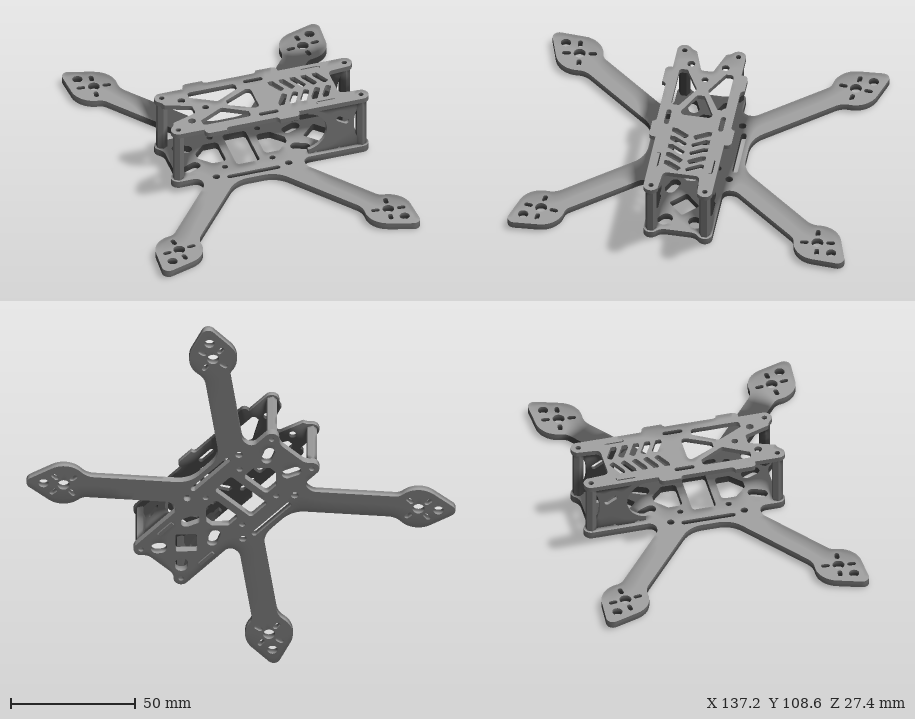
import cadquery as cq
import math

tab_projection = 0.4
bottom_thickness = 3.0
post_height = 22.0
top_thickness = 2.0
bottom_base = tab_projection
bottom_face = bottom_base + bottom_thickness
top_base = bottom_face + post_height
top_face = top_base + top_thickness
mid_height = (bottom_face + top_base) / 2

post_x = 11.0
rear_post_y = -30.0
front_post_y = 47.1
lobe_radius = 3.0
half_body = post_x + lobe_radius
end_overhang = 0.3
end_fillet = 5.0
screw_hole = 2.2
post_flats = 4.0

half_span_x = 68.6
half_span_y = 54.3
motor_x = 56.36
motor_y = 44.1
pad_radius = 9.6
tip_radius = 2.7
tip_x = half_span_x - tip_radius
tip_y = half_span_y - tip_radius
arm_angle = 38.7
arm_outer_offset = 5.56
arm_inner_offset = 4.8
outer_pad_fillet = 4.4
inner_pad_fillet = 7.7
waist_x = 19.9
waist_fillet = 11.3
pocket_y = 21.49
pocket_arm_fillet = 4.4
pocket_body_fillet = 3.0

motor_hole = 4.8
tip_hole = 4.1
tip_hole_x = 62.81
tip_hole_y = 48.95
motor_slot_radius = 5.29
motor_slot_length = 3.6
motor_slot_width = 1.9
motor_slot_twist = 7

strap_x = 16.8
strap_length = 22.4
strap_width = 2.2
large_mount = 15.2
large_mount_hole = 3.0
small_mount = 10.0
small_mount_hole = 2.5
centre_window_half_x = 10.09
centre_window_half_y = 5.0
roof_window_half_x = 6.38
roof_window_near_y = 8.03
roof_window_shoulder_y = 14.0
roof_window_far_y = 18.8
diamond_y = 32.3
diamond_half = 6.2
front_oval_x = 6.2
front_oval_y = 41.7
front_oval_length = 6.6
front_oval_width = 5.2
front_oval_angle = 53
oval_x = 6.38
oval_y = 22.9
oval_width = 4.4
oval_run_x = 1.5
oval_run_y = 3.5

shoulder_x = 16.82
shoulder_y = 19.9
shoulder_fillet = 1.9
strap_recess_width = 3.0
front_notch_half_inner = 7.4
front_notch_half_outer = 8.2
front_notch_y = 39.0
rear_notch_y = -19.9
rear_notch_half_inner = 2.4
rear_notch_half_outer = 6.0
vent_count = 5
vent_pitch = 4.64
vent_first_y = 32.3
triangle_top_y = 5.9
triangle_bottom_y = -5.9
triangle_half_top = 7.4
triangle_half_bottom = 1.5
window_outer_x = 11.1
window_inner_x = 7.8
window_top_y = 0.8
window_bottom_y = -19.4
window_tip_x = 2.2
window_tip_y = -9.0
rear_hole_x = 7.0
rear_hole_y = -22.9
rear_hole = 3.2
centre_hole_y = -15.0
centre_hole = 2.7

side_thickness = 1.5
side_shift = 0.3
side_slot_x = 11.1
side_slot_width = 2.0
side_slot_length = 8.2
left_slot_y = 32.8
right_slot_y = 32.4
slot_spacing = 24.3
tab_y = 32.61
tab_length = 8.0
relief_radius = 0.5
relief_offset = 5.0
side_rear_y = 24.51
side_front_y = front_post_y - post_flats / 2
lens_cut_y = 23.3
lens_cut_radius = 9.0
front_cut_y = 43.7
front_cut_radius = 17.8
tilt_slot_front = (40.5, mid_height + 1.8)
tilt_slot_rear = (37.55, mid_height + 3.64)
tilt_slot_width = 2.3

mirror_signs = (-1, 1)
quadrants = [(sx, sy) for sx in mirror_signs for sy in mirror_signs]


def rounded_prism(corners, base, height):
    """Prism over a polygon whose corners are (x, y, radius); radius 0 stays sharp."""
    starts, middles, ends = [], [], []
    for i, (x, y, radius) in enumerate(corners):
        corner = cq.Vector(x, y)
        back = (cq.Vector(*corners[i - 1][:2]) - corner).normalized()
        ahead = (cq.Vector(*corners[(i + 1) % len(corners)][:2]) - corner).normalized()
        half_angle = back.getAngle(ahead) / 2
        tangent = radius / math.tan(half_angle)
        bisector = (back + ahead).normalized()
        starts.append(corner + back * tangent)
        ends.append(corner + ahead * tangent)
        middles.append(corner + bisector * (radius / math.sin(half_angle) - radius))
    outline = cq.Workplane("XY").workplane(offset=base).moveTo(ends[-1].x, ends[-1].y)
    for start, middle, end, corner in zip(starts, middles, ends, corners):
        outline = outline.lineTo(start.x, start.y)
        if corner[2] > 0:
            outline = outline.threePointArc((middle.x, middle.y), (end.x, end.y))
    return outline.close().extrude(height)


def mirrored(corners):
    """Close an outline given from one side of the Y axis by mirroring it across that axis."""
    return corners + [(-x, y, radius) for x, y, radius in reversed(corners)]


def disc(x, y, diameter, base, height):
    return cq.Workplane("XY", origin=(x, y, base)).circle(diameter / 2).extrude(height)


def slot(x, y, length, width, angle, base, height):
    return cq.Workplane("XY", origin=(x, y, base)).slot2D(length, width, angle).extrude(height)


def fillet_at(body, x, y, radius):
    """Round the upright edge nearest to (x, y)."""
    middle = body.val().BoundingBox().center.z
    edge = body.edges("|Z").edges(cq.selectors.NearestToPointSelector((x, y, middle)))
    return edge.fillet(radius)


def fuselage(base, height):
    """Long body with a lobe around each post and end edges blended into the lobes."""
    length = front_post_y - rear_post_y
    middle = (front_post_y + rear_post_y) / 2
    body = cq.Workplane("XY", origin=(0, middle, base)).rect(2 * half_body, length).extrude(height)
    core = cq.Workplane("XY", origin=(0, middle, base))
    body = body.union(core.rect(2 * post_x, length + 2 * end_overhang).extrude(height))
    for x in (-post_x, post_x):
        for y in (rear_post_y, front_post_y):
            body = body.union(disc(x, y, 2 * lobe_radius, base, height))
    joint_x = post_x - math.sqrt(lobe_radius**2 - end_overhang**2)
    for x in (-joint_x, joint_x):
        for y in (rear_post_y - end_overhang, front_post_y + end_overhang):
            body = fillet_at(body, x, y, end_fillet)
    return body


def cut_screw_holes(plate, base, height):
    for x in (-post_x, post_x):
        for y in (rear_post_y, front_post_y):
            plate = plate.cut(disc(x, y, screw_hole, base, height))
    return plate


def cut_side_slots(plate, base, height, back=0):
    """Pair of long slots, moved back along -Y from the place of the tabs."""
    for side, slot_y in ((-1, left_slot_y), (1, right_slot_y)):
        x = side * side_slot_x
        plate = plate.cut(slot(x, slot_y - back, side_slot_length, side_slot_width, 90, base, height))
    return plate


def cut_tab_slots(plate, base, height):
    """Slots for the side plates, squared off where the tab ends need the room."""
    plate = cut_side_slots(plate, base, height)
    for side in mirror_signs:
        tab = cq.Workplane("XY", origin=(side * side_slot_x + side_shift, tab_y, base))
        plate = plate.cut(tab.rect(side_thickness, tab_length).extrude(height))
    return plate


def arm_point(along, across):
    """Point in the +X +Y quadrant, measured from the motor axis inward along the arm."""
    angle = math.radians(arm_angle)
    x = motor_x - along * math.cos(angle) - across * math.sin(angle)
    y = motor_y - along * math.sin(angle) + across * math.cos(angle)
    return x, y


def arm_edge_y(x, across):
    """Height in Y at which an arm edge, offset from the motor axis, crosses x."""
    slope = math.tan(math.radians(arm_angle))
    return motor_y + across / math.cos(math.radians(arm_angle)) - (motor_x - x) * slope


def motor_pad():
    """Pad in the +X +Y quadrant: the hull of the motor circle and the smaller tip circle."""
    reach = math.hypot(tip_x - motor_x, tip_y - motor_y)
    heading = math.atan2(tip_y - motor_y, tip_x - motor_x)
    spread = math.acos((pad_radius - tip_radius) / reach)
    corners = []
    for turn in (spread, -spread):
        direction = (math.cos(heading + turn), math.sin(heading + turn))
        at_pad = (motor_x + pad_radius * direction[0], motor_y + pad_radius * direction[1], 0)
        at_tip = (tip_x + tip_radius * direction[0], tip_y + tip_radius * direction[1], 0)
        corners += [at_pad, at_tip] if turn > 0 else [at_tip, at_pad]
    pad = rounded_prism(corners, bottom_base, bottom_thickness)
    pad = pad.union(disc(motor_x, motor_y, 2 * pad_radius, bottom_base, bottom_thickness))
    return pad.union(disc(tip_x, tip_y, 2 * tip_radius, bottom_base, bottom_thickness))


def arm():
    """Arm in the +X +Y quadrant, from the middle of the plate to its drilled motor pad."""
    slope = math.tan(math.radians(arm_angle))
    pocket_x = motor_x - (motor_y + arm_outer_offset / math.cos(math.radians(arm_angle)) - pocket_y) / slope
    corners = [
        (0, 0, 0),
        (waist_x, 0, 0),
        (waist_x, arm_edge_y(waist_x, -arm_inner_offset), waist_fillet),
        (*arm_point(0, -arm_inner_offset), 0),
        (*arm_point(0, arm_outer_offset), 0),
        (pocket_x, pocket_y, pocket_arm_fillet),
        (half_body, pocket_y, pocket_body_fillet),
        (half_body, pocket_y + 2 * pocket_body_fillet, 0),
        (0, pocket_y + 2 * pocket_body_fillet, 0),
    ]
    body = rounded_prism(corners, bottom_base, bottom_thickness).union(motor_pad())
    for across, radius in ((arm_outer_offset, outer_pad_fillet), (-arm_inner_offset, inner_pad_fillet)):
        along = math.sqrt(pad_radius**2 - across**2)
        body = fillet_at(body, *arm_point(along, across), radius)
    body = body.cut(disc(motor_x, motor_y, motor_hole, bottom_base, bottom_thickness))
    body = body.cut(disc(tip_hole_x, tip_hole_y, tip_hole, bottom_base, bottom_thickness))
    for quarter in range(4):
        angle = 90 * quarter - motor_slot_twist
        x = motor_x + motor_slot_radius * math.cos(math.radians(angle))
        y = motor_y + motor_slot_radius * math.sin(math.radians(angle))
        body = body.cut(
            slot(x, y, motor_slot_length, motor_slot_width, angle, bottom_base, bottom_thickness)
        )
    return body


def bottom_windows():
    """Openings along the middle of the bottom plate."""
    centre = mirrored([
        (centre_window_half_x, -centre_window_half_y, 1.4),
        (centre_window_half_x, centre_window_half_y, 1.4),
    ])
    diamond = [
        (diamond_half, diamond_y, 0.8),
        (0, diamond_y + diamond_half, 0.8),
        (-diamond_half, diamond_y, 0.8),
        (0, diamond_y - diamond_half, 0.8),
    ]
    roof_tip_x = roof_window_half_x - (roof_window_far_y - roof_window_shoulder_y)
    outlines = [centre, diamond]
    for sign in mirror_signs:
        outlines.append(mirrored([
            (roof_window_half_x, sign * roof_window_near_y, 1.6),
            (roof_window_half_x, sign * roof_window_shoulder_y, 0.8),
            (roof_tip_x, sign * roof_window_far_y, 0.8),
        ]))
    return [rounded_prism(outline, bottom_base, bottom_thickness) for outline in outlines]


def make_bottom_plate():
    base, height = bottom_base, bottom_thickness
    plate = fuselage(base, height)
    right_front = arm()
    right = right_front.union(right_front.mirror("XZ"))
    plate = plate.union(right).union(right.mirror("YZ"))
    for window in bottom_windows():
        plate = plate.cut(window)
    oval_length = math.hypot(oval_run_x, oval_run_y) + oval_width
    oval_angle = math.degrees(math.atan2(oval_run_y, oval_run_x))
    for sx, sy in quadrants:
        plate = plate.cut(disc(sx * large_mount, sy * large_mount, large_mount_hole, base, height))
        plate = plate.cut(disc(sx * small_mount, sy * small_mount, small_mount_hole, base, height))
        angle = sx * sy * oval_angle
        plate = plate.cut(slot(sx * oval_x, sy * oval_y, oval_length, oval_width, angle, base, height))
    for sx in mirror_signs:
        plate = plate.cut(slot(sx * strap_x, 0, strap_length, strap_width, 90, base, height))
        front_oval = slot(
            sx * front_oval_x, front_oval_y, front_oval_length, front_oval_width,
            sx * front_oval_angle, base, height,
        )
        plate = plate.cut(front_oval)
    plate = cut_tab_slots(plate, base, height)
    return cut_screw_holes(plate, base, height)


def vent(y):
    """Slanted vent on the +X side whose outer corner lies at y."""
    corners = [
        (8.1, y, 0),
        (6.3, y, 0),
        (0.5, y + 3.3, 0.8),
        (2.0, y + 5.2, 0.7),
        (8.1, y + 2.0, 0),
    ]
    return rounded_prism(corners, top_base, top_thickness)


def side_window():
    """Three-sided window on the +X side, pointing at the middle of the plate."""
    corners = [
        (window_outer_x, window_bottom_y, 1.4),
        (window_outer_x, window_top_y, 1.4),
        (window_inner_x, window_top_y, 0.5),
        (window_tip_x, window_tip_y, 1.4),
        (window_inner_x, window_bottom_y, 0.5),
    ]
    return rounded_prism(corners, top_base, top_thickness)


def make_top_plate():
    base, height = top_base, top_thickness
    shoulders = mirrored([
        (shoulder_x, -shoulder_y, shoulder_fillet),
        (shoulder_x, shoulder_y, shoulder_fillet),
    ])
    plate = fuselage(base, height).union(rounded_prism(shoulders, base, height))

    beyond_front = front_post_y + lobe_radius
    front_notch = mirrored([
        (front_notch_half_outer, beyond_front, 0),
        (front_notch_half_inner, front_notch_y, 2.0),
    ])
    plate = plate.cut(rounded_prism(front_notch, base, height))
    rear_edge = rear_post_y - end_overhang
    rear_notch = mirrored([
        (rear_notch_half_outer, rear_edge - end_overhang, 0),
        (rear_notch_half_inner, rear_notch_y, 1.1),
    ])
    plate = plate.cut(rounded_prism(rear_notch, base, height))

    triangle = mirrored([
        (triangle_half_bottom, triangle_bottom_y, 0.8),
        (triangle_half_top, triangle_top_y, 1.6),
    ])
    plate = plate.cut(rounded_prism(triangle, base, height))
    half_openings = [vent(vent_first_y - i * vent_pitch) for i in range(vent_count)]
    half_openings.append(side_window())
    half_openings.append(disc(rear_hole_x, rear_hole_y, rear_hole, base, height))
    half_openings.append(slot(strap_x, 0, strap_length, strap_recess_width, 90, base, height))
    for opening in half_openings:
        plate = plate.cut(opening).cut(opening.mirror("YZ"))
    plate = plate.cut(disc(0, centre_hole_y, centre_hole, base, height))
    plate = cut_tab_slots(plate, base, height)
    plate = cut_side_slots(plate, base, height, slot_spacing)
    return cut_screw_holes(plate, base, height)


def make_post(x, y):
    """Hexagonal post with two corners on the X direction."""
    across_corners = post_flats / math.cos(math.radians(30))
    return cq.Workplane("XY", origin=(x, y, bottom_face)).polygon(6, across_corners).extrude(post_height)


def make_side_plate(x):
    """Upright plate with a tab into each horizontal plate and cut-outs around the lens."""
    def sheet():
        return cq.Workplane("YZ", origin=(x - side_thickness / 2, 0, 0))

    length = side_front_y - side_rear_y
    middle_y = (side_front_y + side_rear_y) / 2
    plate = sheet().center(middle_y, mid_height).rect(length, post_height).extrude(side_thickness)
    tab = sheet().center(tab_y, top_face / 2).rect(tab_length, top_face).extrude(side_thickness)
    plate = plate.union(tab)

    front_cut = sheet().center(front_cut_y + front_cut_radius, mid_height).circle(front_cut_radius)
    lens_cut = sheet().center(lens_cut_y, mid_height).circle(lens_cut_radius)
    plate = plate.cut(front_cut.extrude(side_thickness)).cut(lens_cut.extrude(side_thickness))

    relief_spots = [
        (tab_y + sign * relief_offset, z) for sign in mirror_signs for z in (bottom_face, top_base)
    ]
    plate = plate.cut(sheet().pushPoints(relief_spots).circle(relief_radius).extrude(side_thickness))

    run = tilt_slot_rear[0] - tilt_slot_front[0]
    rise = tilt_slot_rear[1] - tilt_slot_front[1]
    slot_y = tilt_slot_front[0] + run / 2
    slot_z = tilt_slot_front[1] + rise / 2
    tilt_slot = sheet().center(slot_y, slot_z)
    tilt_slot = tilt_slot.slot2D(
        math.hypot(run, rise) + tilt_slot_width, tilt_slot_width, math.degrees(math.atan2(rise, run))
    )
    return plate.cut(tilt_slot.extrude(side_thickness))


bottom_plate = make_bottom_plate()
top_plate = make_top_plate()
posts = [make_post(x, y) for x in (-post_x, post_x) for y in (rear_post_y, front_post_y)]
side_plates = [make_side_plate(side * side_slot_x + side_shift) for side in mirror_signs]

result = cq.Compound.makeCompound([
    bottom_plate.val(),
    top_plate.val(),
    *[post.val() for post in posts],
    *[side_plate.val() for side_plate in side_plates],
])